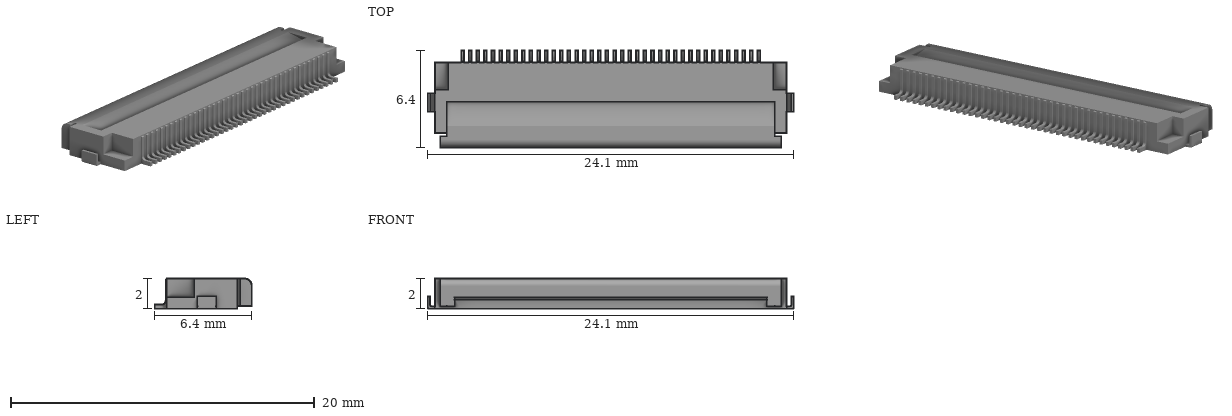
import cadquery as cq


length = 24.1
depth = 6.4
height = 2.0
front_y = -depth / 2
back_y = depth / 2

housing_length = 23.15
housing_front_y = -2.25
housing_back_y = 2.4
corner_step_length = 0.9
corner_step_front_y = 0.6
corner_step_z = 0.75
mouth_length = 21.6
mouth_back_y = -0.2
mouth_floor_z = 0.6

contact_count = 40
contact_row_span = 19.5
contact_pitch = contact_row_span / (contact_count - 1)
contact_width = 0.2
foot_thickness = 0.3
leg_proud = 0.07
leg_top_z = 1.93
foot_bend_radius = 0.22

bar_length = 22.45
bar_back_y = -2.43
bar_round_radius = 0.5
actuator_bottom_z = 0.17
cable_opening_length = 20.55
cable_opening_top_z = 0.75
slope_front_y = -1.78
slope_drop = 0.3

strip_front_y = -0.85
strip_back_y = 0.39
strip_thickness = 0.17
strip_end_height = 0.82
strip_inner_radius = 0.1
strip_outer_radius = 0.07


def block(x_length, y_start, y_end, z_start, z_end):
    """Box centred on X = 0 between the given Y and Z limits."""
    return (
        cq.Workplane("XY")
        .box(x_length, y_end - y_start, z_end - z_start, centered=(True, False, False))
        .translate((0, y_start, z_start))
    )


def make_contact(x_centre):
    """The exposed part of one contact: a leg up the housing back and a foot on the board."""
    leg_y = housing_back_y + leg_proud
    bend_y = leg_y + foot_bend_radius
    bend_z = foot_thickness + foot_bend_radius
    return (
        cq.Workplane("YZ", origin=(x_centre - contact_width / 2, 0, 0))
        .moveTo(housing_back_y, 0)
        .lineTo(back_y, 0)
        .lineTo(back_y, foot_thickness)
        .lineTo(bend_y, foot_thickness)
        .radiusArc((leg_y, bend_z), foot_bend_radius)
        .lineTo(leg_y, leg_top_z - leg_proud)
        .radiusArc((housing_back_y, leg_top_z), -leg_proud)
        .close()
        .extrude(contact_width)
    )


def make_housing():
    body = block(housing_length, housing_front_y, housing_back_y, 0, height)
    mouth = block(mouth_length, housing_front_y, mouth_back_y, mouth_floor_z, height)
    strip_groove = block(housing_length, strip_front_y, strip_back_y, 0, strip_thickness)
    body = body.cut(mouth).cut(strip_groove)

    step_centre_x = (housing_length - corner_step_length) / 2
    corner_step = block(corner_step_length, corner_step_front_y, housing_back_y, corner_step_z, height)
    for side in (-1, 1):
        body = body.cut(corner_step.translate((side * step_centre_x, 0, 0)))

    for index in range(contact_count):
        body = body.union(make_contact(index * contact_pitch - contact_row_span / 2))
    return body


def make_actuator():
    """Plate lying between the housing arms, with a wider rounded bar in front of them."""
    plate = block(mouth_length, housing_front_y, mouth_back_y, cable_opening_top_z, height)
    neck = block(mouth_length, bar_back_y, housing_front_y, actuator_bottom_z, height)
    bar = block(bar_length, front_y, bar_back_y, actuator_bottom_z, height)
    bar = bar.edges("|X and <Y and >Z").fillet(bar_round_radius)

    cable_opening = block(
        cable_opening_length, front_y, housing_front_y, actuator_bottom_z, cable_opening_top_z
    )
    slope_waste = (
        cq.Workplane("YZ", origin=(-mouth_length / 2, 0, 0))
        .moveTo(slope_front_y, height)
        .lineTo(mouth_back_y, height)
        .lineTo(mouth_back_y, height - slope_drop)
        .close()
        .extrude(mouth_length)
    )
    return plate.union(neck).union(bar).cut(cable_opening).cut(slope_waste)


def make_hold_down_strip():
    """Sheet-metal strip across the housing underside, bent up beside each end."""
    strip = block(length, strip_front_y, strip_back_y, 0, strip_end_height)
    strip = strip.edges("|Y and <Z").fillet(strip_outer_radius)
    inside = block(
        length - 2 * strip_thickness, strip_front_y, strip_back_y, strip_thickness, strip_end_height
    )
    inside = inside.edges("|Y and <Z").fillet(strip_inner_radius)
    return strip.cut(inside)


housing = make_housing()
actuator = make_actuator()
hold_down_strip = make_hold_down_strip()

result = cq.Compound.makeCompound([housing.val(), actuator.val(), hold_down_strip.val()])